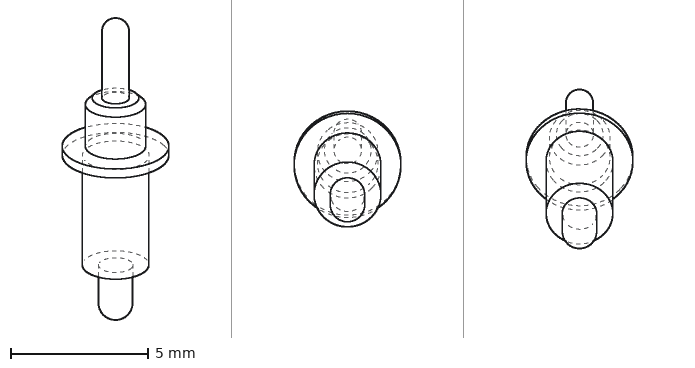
import cadquery as cq

total_length = 12.05
tail_diameter = 1.0
collar_diameter = 2.2
flange_diameter = 3.89
barrel_diameter = 2.43
plunger_diameter = 1.25

plunger_length = 2.16
barrel_length = 4.42
flange_thickness = 0.36
collar_length = 1.94
collar_chamfer = 0.25

barrel_bottom = plunger_length
flange_bottom = barrel_bottom + barrel_length
collar_bottom = flange_bottom + flange_thickness
collar_top = collar_bottom + collar_length
tail_length = total_length - collar_top


def cylinder(diameter, bottom, length):
    """Round section standing on the plane Z = bottom."""
    return cq.Workplane("XY").workplane(offset=bottom).circle(diameter / 2).extrude(length)


def domed_pin(diameter, length):
    """Pin rising from Z = 0 whose upper end is a hemisphere."""
    radius = diameter / 2
    shank_length = length - radius
    dome = cq.Workplane("XY").sphere(radius).translate((0, 0, shank_length))
    return cylinder(diameter, 0, shank_length).union(dome)


plunger = (
    domed_pin(plunger_diameter, plunger_length)
    .rotate((0, 0, 0), (1, 0, 0), 180)
    .translate((0, 0, barrel_bottom))
)

barrel = cylinder(barrel_diameter, barrel_bottom, barrel_length)
flange = cylinder(flange_diameter, flange_bottom, flange_thickness)
collar = cylinder(collar_diameter, collar_bottom, collar_length).faces(">Z").chamfer(collar_chamfer)

tail = domed_pin(tail_diameter, tail_length).translate((0, 0, collar_top))

result = barrel.union(flange).union(collar).union(plunger).union(tail)